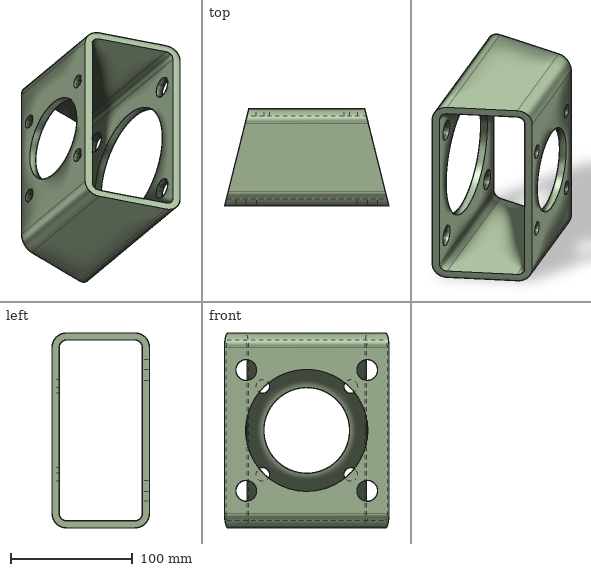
import cadquery as cq
import math

height = 160.0
depth = 80.0
outer_radius = 12.0
wall = outer_radius / 2
inner_radius = outer_radius - wall

front_width = 135.0
end_angle = 14.0
back_width = front_width - 2 * depth * math.tan(math.radians(end_angle))

front_opening = 100.0
front_hole = 17.0
front_hole_spacing = 99.0
back_opening = 70.0
back_hole = 11.0
back_hole_spacing = 72.2


def rounded_bar(bar_depth, bar_height, radius):
    """Bar along X with rounded lengthwise edges."""
    return cq.Workplane("XY").box(front_width, bar_depth, bar_height).edges("|X").fillet(radius)


def wall_cutter(opening, hole, spacing, start_y):
    """Opening and hole cylinders through half the depth, running toward +Y from start_y."""
    plane = cq.Workplane("XZ", origin=(0, start_y, 0))
    cutter = plane.circle(opening / 2).extrude(-depth / 2)
    holes = plane.rect(spacing, spacing, forConstruction=True).vertices().circle(hole / 2).extrude(-depth / 2)
    return cutter.union(holes)


tube = rounded_bar(depth, height, outer_radius).cut(
    rounded_bar(depth - 2 * wall, height - 2 * wall, inner_radius)
)

mitre_envelope = (
    cq.Workplane("XY")
    .polyline(
        [
            (-front_width / 2, -depth / 2),
            (front_width / 2, -depth / 2),
            (back_width / 2, depth / 2),
            (-back_width / 2, depth / 2),
        ]
    )
    .close()
    .extrude(height / 2, both=True)
)

result = (
    tube.intersect(mitre_envelope)
    .cut(wall_cutter(front_opening, front_hole, front_hole_spacing, -depth / 2))
    .cut(wall_cutter(back_opening, back_hole, back_hole_spacing, 0))
)